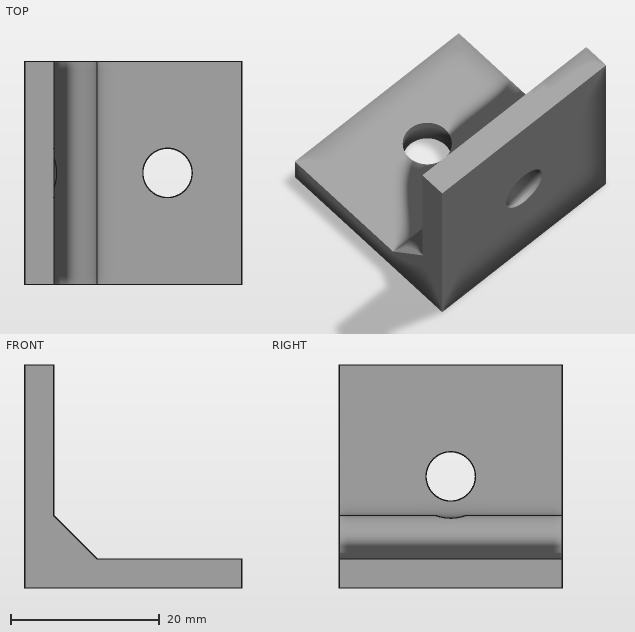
import cadquery as cq

base_length = 29.2
width = 30.0
wall_height = 30.0
thickness = 3.93
corner_leg = 5.82
hole_diameter = 6.6
base_hole_x = 19.2
wall_hole_z = wall_height / 2
head_clearance_diameter = 11.25

corner_end = thickness + corner_leg


def angle_body():
    """L-shaped bracket with a sloped fillet in its inner corner."""
    outline = [
        (0, 0),
        (base_length, 0),
        (base_length, thickness),
        (corner_end, thickness),
        (thickness, corner_end),
        (thickness, wall_height),
        (0, wall_height),
    ]
    return cq.Workplane("XZ").polyline(outline).close().extrude(width / 2, both=True)


def base_hole():
    """Vertical hole through the base."""
    return cq.Workplane("XY").center(base_hole_x, 0).circle(hole_diameter / 2).extrude(thickness)


def wall_cylinder(diameter, start_x, length):
    """Cylinder along X on the axis of the wall hole."""
    return (
        cq.Workplane("YZ", origin=(start_x, 0, wall_hole_z))
        .circle(diameter / 2)
        .extrude(length)
    )


wall_hole = wall_cylinder(hole_diameter, 0, thickness)
head_clearance = wall_cylinder(head_clearance_diameter, thickness, corner_leg)

result = angle_body().cut(base_hole()).cut(wall_hole).cut(head_clearance)